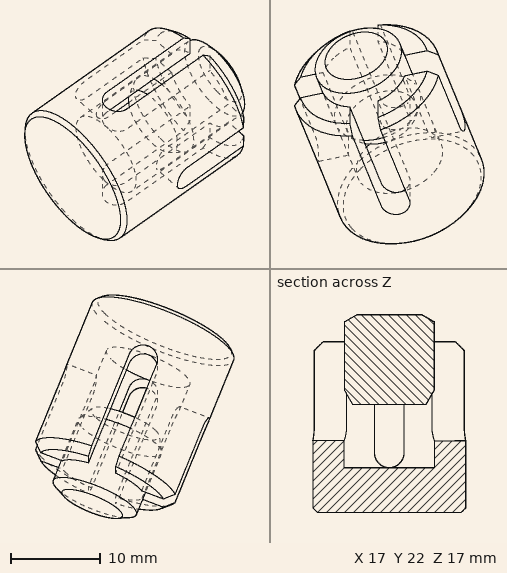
import cadquery as cq

TOTAL_LENGTH = 22.0

HOUSING_DIAMETER = 17.0
HOUSING_LENGTH = 19.0
CLOSED_END_CHAMFER = 0.5
OPEN_END_CHAMFER = 1.0

SLOT_WIDTH = 3.25
VERTICAL_SLOT_END = 5.0
CROSS_SLOT_END = 8.0

PIN_DIAMETER = 10.0
PIN_LENGTH = 10.0
PIN_TIP_CHAMFER_LENGTH = 0.8
PIN_TIP_CHAMFER_DEPTH = 1.39
PIN_INNER_CHAMFER_LENGTH = 1.6
PIN_INNER_CHAMFER_DEPTH = 0.92

BORE_FLOOR = min(VERTICAL_SLOT_END, CROSS_SLOT_END)


def revolve_about_y(profile):
    """Turn a closed outline of (radius, y) points about the Y axis."""
    return cq.Workplane("XY").polyline(profile).close().revolve(360, (0, 0), (0, 1))


def make_slot_cutter(end_y):
    """Slot along Z through the whole housing, round at end_y and open at the far end."""
    half_width = SLOT_WIDTH / 2
    arc_center_y = end_y + half_width
    return (
        cq.Workplane("XY")
        .moveTo(-half_width, HOUSING_LENGTH)
        .lineTo(-half_width, arc_center_y)
        .threePointArc((0, end_y), (half_width, arc_center_y))
        .lineTo(half_width, HOUSING_LENGTH)
        .close()
        .extrude(HOUSING_DIAMETER, both=True)
    )


def make_housing():
    """Chamfered cup with a blind bore and two crossing slots in its wall."""
    radius = HOUSING_DIAMETER / 2
    bore_radius = PIN_DIAMETER / 2
    cup = revolve_about_y([
        (0, 0),
        (radius - CLOSED_END_CHAMFER, 0),
        (radius, CLOSED_END_CHAMFER),
        (radius, HOUSING_LENGTH - OPEN_END_CHAMFER),
        (radius - OPEN_END_CHAMFER, HOUSING_LENGTH),
        (bore_radius, HOUSING_LENGTH),
        (bore_radius, BORE_FLOOR),
        (0, BORE_FLOOR),
    ])
    vertical_slot = make_slot_cutter(VERTICAL_SLOT_END)
    cross_slot = make_slot_cutter(CROSS_SLOT_END).rotate((0, 0, 0), (0, 1, 0), 90)
    return cup.cut(vertical_slot).cut(cross_slot)


def make_pin():
    """Round pin held in the bore, chamfered at both ends."""
    radius = PIN_DIAMETER / 2
    inner_end = TOTAL_LENGTH - PIN_LENGTH
    return revolve_about_y([
        (0, inner_end),
        (radius - PIN_INNER_CHAMFER_DEPTH, inner_end),
        (radius, inner_end + PIN_INNER_CHAMFER_LENGTH),
        (radius, TOTAL_LENGTH - PIN_TIP_CHAMFER_LENGTH),
        (radius - PIN_TIP_CHAMFER_DEPTH, TOTAL_LENGTH),
        (0, TOTAL_LENGTH),
    ])


housing = make_housing()
pin = make_pin()
result = cq.Compound.makeCompound([housing.val(), pin.val()])